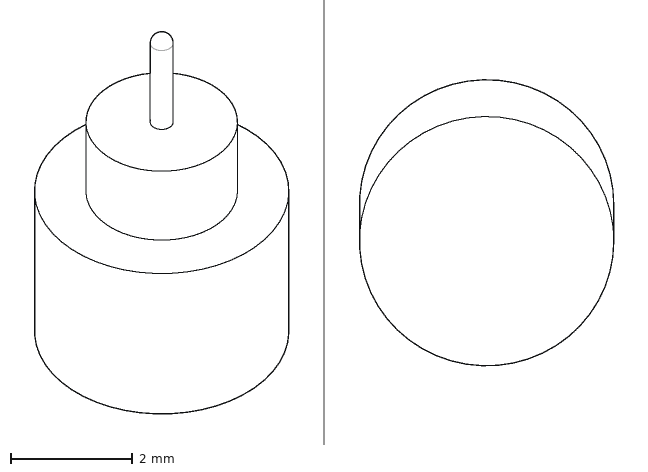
import cadquery as cq

total_height = 6.45
body_diameter = 4.2
body_height = 3.05
collar_diameter = 2.5
collar_height = 1.495
pin_diameter = 0.38

pin_radius = pin_diameter / 2
collar_top = body_height + collar_height
pin_height = total_height - collar_top


def cylinder(diameter, height, base_z):
    """Upright cylinder centred on the Z axis, standing at base_z."""
    return cq.Workplane("XY").workplane(offset=base_z).circle(diameter / 2).extrude(height)


body = cylinder(body_diameter, body_height, 0)
collar = cylinder(collar_diameter, collar_height, body_height)

pin_shaft = cylinder(pin_diameter, pin_height - pin_radius, collar_top)
pin_tip = cq.Workplane("XY").sphere(pin_radius).translate((0, 0, total_height - pin_radius))

result = body.union(collar).union(pin_shaft).union(pin_tip)